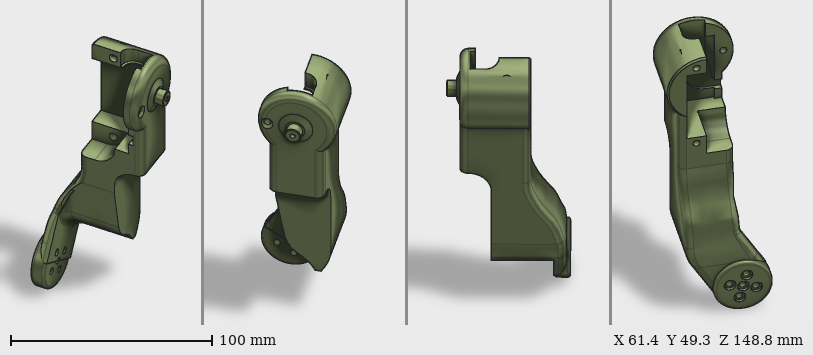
import cadquery as cq
import math


JOINT_R = 20.0
HALF_WIDTH = 14.1
WALL = 4.2
FLANGE_X = 27.7
POCKET_X = 28.9
PLATE_X = 31.0
PLATE_END_X = 35.3
PLATE_BOTTOM = -43.2
RIM_LAND = 0.1
HOUSING_CHAMFER = 0.9

POCKET_TOP = 10.4
POCKET_BOTTOM = -30.2
LIP_Y = -10.4
NOTCH_X = 15.9
NOTCH_Y = 7.3
NOTCH_R = 6.4
LEDGE_HEIGHT = 0.7
RECESS_R = 11.2
RECESS_FLAT = 8.8

CHANNEL_X = 30.2
CHANNEL_HALF_WIDTH = 5.8
CHANNEL_STRAIGHT_END = -11.9
CHANNEL_BOTTOM = -24.1
EXIT_TOP = -18.3
TAPER_END_Y = -9.8

DOME_BASE_R = 10.1
DOME_MID_R = 7.3
DOME_TOP_R = 5.0
DOME_BASE_X = 34.4
DOME_MID_X = 36.0
DOME_TOP_X = 36.9
AXLE_D = 8.0
AXLE_END_X = 41.8
AXLE_CHAMFER = 0.5
AXLE_HOLE_D = 2.5
AXLE_SINK_D = 6.5

ARM_TOP = -49.7
ARM_CURVE = ((-2.5, -60.0), (-7.3, -68.5), (-12.4, -75.6), (-15.6, -84.1), (-17.5, -99.7))
ARM_INNER_X = -11.3
ARM_INNER_END_Z = -84.1
ARM_INNER_KNEE = (-5.8, -70.2)
BLOCK_X = 19.6
NECK_R = 11.3
EDGE_FILLET = 3.9
INNER_BEND_R = 3.0
OUTER_BEND_R = 22.3
BEND_ANGLE = 30.0
FACET_TOP = -58.6
ARM_INNER_START = (3.3, FACET_TOP)
FACET_ANGLE = 10.6
BLOCK_BOTTOM = -103.1
CLEARANCE_R = 23.0
CLEARANCE_FILLET = 4.5
BLOCK_FILLET = 14.9
DIP_Z = -67.0
DIP_END = -78.1

LOWER_Y = -14.3
LOWER_Z = -113.8
LOWER_R = 15.0
DISC_FACE_X = -19.6
DISC_BACK_X = -11.8
DISC_FILLET = 1.5
BOLT_CIRCLE_R = 7.0
BOLT_TILT = 15.0
BOLT_D = 3.5
BOLT_SEAT_D = 6.0
BOLT_SEAT_DEPTH = 1.5

SCREW_D = 4.5
SCREW_X = 11.9
SCREW_DEPTH = 10.4
FRONT_SCREW_Z = (14.9, -35.7)
SIDE_SCREW_D = 3.5
SIDE_SCREW_Y = 5.0
SIDE_SCREWS = ((14.3, 11.9), (-34.0, 9.0))
FLANGE_HOLE_D = 3.5
FLANGE_HOLE_Y = -14.9
FLANGE_SINK_D = 6.5
TIP_ANGLE = 118.0

FAR = 89.3
MARGIN = 1.5
TOUCH = 0.1


def box(x, y, z):
    """Box given by its (low, high) limits along each axis."""
    size = (x[1] - x[0], y[1] - y[0], z[1] - z[0])
    return cq.Workplane("XY").box(*size, centered=False).translate((x[0], y[0], z[0]))


def rod(x0, x1, radius, y=0.0, z=0.0):
    """Cylinder along X."""
    return cq.Workplane("YZ", origin=(x0, y, z)).circle(radius).extrude(x1 - x0)


def drill(start, diameter, depth):
    """Blind hole toward +Y with a conical drill tip."""
    radius = diameter / 2
    tip = radius / math.tan(math.radians(TIP_ANGLE / 2))
    start = cq.Vector(*start)
    direction = cq.Vector(0, 1, 0)
    bore = cq.Solid.makeCylinder(radius, depth, start, direction)
    cone = cq.Solid.makeCone(radius, 0, tip, start + direction * depth, direction)
    return cq.Workplane(bore).union(cq.Workplane(cone))


def arm():
    """Trunk and bent arm: side profile crossed with front outline, outer edges rounded."""
    blend = NECK_R * math.sqrt(0.5)
    profile = (
        cq.Workplane("XZ", origin=(0, FAR, 0))
        .moveTo(0, 0)
        .lineTo(0, ARM_TOP)
        .spline(ARM_CURVE, tangents=[(0, -1), (0, -1)], includeCurrent=True)
        .lineTo(ARM_CURVE[-1][0], -FAR * 2)
        .lineTo(BLOCK_X, -FAR * 2)
        .lineTo(BLOCK_X, PLATE_BOTTOM - NECK_R)
        .threePointArc(
            (PLATE_X - blend, PLATE_BOTTOM - NECK_R + blend), (PLATE_X, PLATE_BOTTOM)
        )
        .lineTo(PLATE_X, 0)
        .close()
        .extrude(2 * FAR)
    )
    cos_bend = math.cos(math.radians(BEND_ANGLE))
    sin_bend = math.sin(math.radians(BEND_ANGLE))
    side_y = LOWER_R * cos_bend
    side_z = LOWER_R * sin_bend
    outer_tangent = (LOWER_Y + side_y, LOWER_Z - side_z)
    inner_tangent = (LOWER_Y - side_y, LOWER_Z + side_z)
    slope = cos_bend / sin_bend
    outer_bend_z = outer_tangent[1] + (HALF_WIDTH - outer_tangent[0]) * slope
    inner_bend_z = inner_tangent[1] + (-HALF_WIDTH - inner_tangent[0]) * slope
    outline = (
        cq.Workplane("YZ", origin=(-FAR, 0, 0))
        .moveTo(-HALF_WIDTH, 0)
        .lineTo(HALF_WIDTH, 0)
        .lineTo(HALF_WIDTH, outer_bend_z)
        .lineTo(*outer_tangent)
        .threePointArc((LOWER_Y - LOWER_R * sin_bend, LOWER_Z - LOWER_R * cos_bend), inner_tangent)
        .lineTo(-HALF_WIDTH, inner_bend_z)
        .close()
        .extrude(2 * FAR)
    )
    inner_bend = cq.selectors.NearestToPointSelector((0, -HALF_WIDTH, inner_bend_z))
    outer_bend = cq.selectors.NearestToPointSelector((0, HALF_WIDTH, outer_bend_z))
    outline = outline.edges(inner_bend).fillet(INNER_BEND_R)
    outline = outline.edges(outer_bend).fillet(OUTER_BEND_R)

    left_edges = cq.selectors.BoxSelector((-FAR, -FAR, -2 * FAR), (TOUCH, FAR, FAR))
    crosswise = cq.selectors.ParallelDirSelector(cq.Vector(0, 1, 0))
    lengthwise = cq.selectors.ParallelDirSelector(cq.Vector(1, 0, 0))
    body = profile.intersect(outline)
    body = body.edges(left_edges - crosswise - lengthwise).fillet(EDGE_FILLET)
    return body.cut(arm_relief()).cut(front_dip()).cut(end_rounding())


def arm_relief():
    """Material removed behind the arm: sloped front of the block and room for the lower joint."""
    inner_side = (
        cq.Workplane("XZ", origin=(0, FAR, 0))
        .moveTo(*ARM_INNER_START)
        .lineTo(*ARM_INNER_KNEE)
        .lineTo(ARM_INNER_X, ARM_INNER_END_Z)
        .lineTo(ARM_INNER_X, -FAR * 2)
        .lineTo(FAR, -FAR * 2)
        .lineTo(FAR, ARM_INNER_START[1])
        .close()
        .extrude(2 * FAR)
    )
    slope = math.tan(math.radians(FACET_ANGLE))
    drop = FACET_TOP - LOWER_Z
    in_front = (
        cq.Workplane("YZ", origin=(-FAR, 0, 0))
        .moveTo(-HALF_WIDTH, FACET_TOP)
        .lineTo(-HALF_WIDTH + drop * slope, LOWER_Z)
        .lineTo(-FAR, LOWER_Z)
        .lineTo(-FAR, FACET_TOP)
        .close()
        .extrude(2 * FAR)
    )
    clearance = rod(ARM_INNER_X, FAR, CLEARANCE_R, LOWER_Y, LOWER_Z)
    in_front = in_front.intersect(box((ARM_INNER_X, FAR), (-FAR, FAR), (-2 * FAR, FAR)))
    below = box((ARM_INNER_X, FAR), (-FAR, FAR), (-2 * FAR, BLOCK_BOTTOM))
    relief = in_front.union(clearance)
    crest = cq.selectors.NearestToPointSelector((FAR / 2, LOWER_Y, LOWER_Z + CLEARANCE_R))
    relief = relief.edges("|X").edges(crest).fillet(BLOCK_FILLET)
    relief = relief.faces("<X").edges("%CIRCLE").fillet(CLEARANCE_FILLET)
    return relief.union(below).intersect(inner_side)


def end_rounding():
    """Trim that gives the end of the arm the rounded rear rim of the lower disc."""
    ring = box((DISC_BACK_X - DISC_FILLET, 0), (-2 * LOWER_R, 2 * LOWER_R), (-2 * LOWER_R, 0))
    ring = ring.rotate((0, 0, 0), (1, 0, 0), -BEND_ANGLE).translate((0, LOWER_Y, LOWER_Z))
    return ring.cut(lower_disc())


def front_dip():
    """Shallow notch in the front edge of the arm."""
    depth = (FACET_TOP - DIP_Z) * math.tan(math.radians(FACET_ANGLE))
    return (
        cq.Workplane("YZ", origin=(-FAR, 0, 0))
        .moveTo(-HALF_WIDTH, FACET_TOP)
        .lineTo(-HALF_WIDTH + depth, DIP_Z)
        .lineTo(-HALF_WIDTH, DIP_END)
        .close()
        .extrude(2 * FAR)
    )


def end_plate():
    """Round plate with a straight tail, rounded along its outer rim."""
    thickness = PLATE_END_X - PLATE_X
    disc = rod(PLATE_X, PLATE_END_X, JOINT_R)
    tail = box((PLATE_X, PLATE_END_X), (-HALF_WIDTH, HALF_WIDTH), (PLATE_BOTTOM, 0))
    return disc.union(tail).faces(">X").edges("not |Y").fillet(thickness - RIM_LAND)


def housing():
    """Half-round housing behind the pocket plus the full flange at its right end."""
    shell = rod(0, PLATE_X, JOINT_R).faces("<X").edges().chamfer(HOUSING_CHAMFER)
    front = box((-MARGIN, FLANGE_X), (-FAR, 0), (-FAR, FAR))
    return shell.cut(front)


def pocket():
    """Servo pocket, open to the left and the front, with a lip along the flange."""
    depth_y = HALF_WIDTH - WALL
    heights = (POCKET_BOTTOM, POCKET_TOP)
    main = box((-MARGIN, FLANGE_X), (-FAR, depth_y), heights)
    behind_lip = box((0, POCKET_X), (LIP_Y, depth_y), heights)
    return main.union(behind_lip)


def roof_notch():
    """Cable notch through the roof with a rounded corner and a low ledge at its foot."""
    ledge_top = POCKET_TOP + LEDGE_HEIGHT
    notch = cq.Workplane("XY")
    for depth, bottom in ((CHANNEL_HALF_WIDTH, POCKET_TOP), (NOTCH_Y, ledge_top)):
        left = NOTCH_X + NOTCH_Y - depth
        step = box((left, CHANNEL_X), (-MARGIN, depth), (bottom, JOINT_R + MARGIN))
        notch = notch.union(step.edges("|Z and <X and >Y").fillet(NOTCH_R - NOTCH_Y + depth))
    return notch


def cable_channel():
    """Channel sunk into the flange, from the roof down and out to the front."""
    corner_r = CHANNEL_STRAIGHT_END - CHANNEL_BOTTOM
    bend = corner_r * math.sqrt(0.5)
    return (
        cq.Workplane("YZ", origin=(FLANGE_X - MARGIN, 0, 0))
        .moveTo(CHANNEL_HALF_WIDTH, JOINT_R + MARGIN)
        .lineTo(CHANNEL_HALF_WIDTH, CHANNEL_STRAIGHT_END)
        .threePointArc(
            (CHANNEL_HALF_WIDTH - corner_r + bend, CHANNEL_STRAIGHT_END - bend),
            (CHANNEL_HALF_WIDTH - corner_r, CHANNEL_BOTTOM),
        )
        .lineTo(-HALF_WIDTH - MARGIN, CHANNEL_BOTTOM)
        .lineTo(-HALF_WIDTH - MARGIN, EXIT_TOP)
        .lineTo(TAPER_END_Y, EXIT_TOP)
        .lineTo(-CHANNEL_HALF_WIDTH, 0)
        .lineTo(-CHANNEL_HALF_WIDTH, JOINT_R + MARGIN)
        .close()
        .extrude(CHANNEL_X - FLANGE_X + MARGIN)
    )


def lower_recess():
    """Recess under the pocket floor, ending in a quarter round."""
    bottom = POCKET_BOTTOM - RECESS_R
    bend = RECESS_R * math.sqrt(0.5)
    return (
        cq.Workplane("XZ")
        .moveTo(-MARGIN, POCKET_BOTTOM)
        .lineTo(-MARGIN, bottom)
        .lineTo(RECESS_FLAT, bottom)
        .threePointArc(
            (RECESS_FLAT + bend, POCKET_BOTTOM - bend), (RECESS_FLAT + RECESS_R, POCKET_BOTTOM)
        )
        .close()
        .extrude(FAR)
    )


def axle():
    """Domed boss carrying the axle stub."""
    boss = (
        cq.Workplane("XY")
        .moveTo(PLATE_X, 0)
        .lineTo(PLATE_X, DOME_BASE_R)
        .lineTo(DOME_BASE_X, DOME_BASE_R)
        .threePointArc((DOME_MID_X, DOME_MID_R), (DOME_TOP_X, DOME_TOP_R))
        .lineTo(DOME_TOP_X, 0)
        .close()
        .revolve(360, (0, 0, 0), (1, 0, 0))
    )
    stub = rod(PLATE_X, AXLE_END_X, AXLE_D / 2).faces(">X").edges().chamfer(AXLE_CHAMFER)
    return boss.union(stub)


def countersink(x, direction, y, sink_d, hole_d):
    """Right-angled countersink cone along X, widest at x."""
    depth = (sink_d - hole_d) / 2
    start = cq.Vector(x, y, 0)
    return cq.Workplane(
        cq.Solid.makeCone(sink_d / 2, hole_d / 2, depth, start, cq.Vector(direction, 0, 0))
    )


def axle_hole():
    """Through hole along the axle with a countersink at the channel floor."""
    hole = rod(FLANGE_X, FAR, AXLE_HOLE_D / 2)
    return hole.union(countersink(CHANNEL_X, 1, 0, AXLE_SINK_D, AXLE_HOLE_D))


def flange_hole():
    """Through hole in the flange, countersunk from the outer right face."""
    hole = rod(FLANGE_X - MARGIN, FAR, FLANGE_HOLE_D / 2, FLANGE_HOLE_Y)
    sink = countersink(PLATE_END_X, -1, FLANGE_HOLE_Y, FLANGE_SINK_D, FLANGE_HOLE_D)
    return hole.union(sink)


def screw_holes():
    """Blind screw holes in the housing, from the front and from the left."""
    holes = cq.Workplane("XY")
    for height in FRONT_SCREW_Z:
        holes = holes.union(drill((SCREW_X, 0, height), SCREW_D, SCREW_DEPTH))
    for height, depth in SIDE_SCREWS:
        holes = holes.union(rod(0, depth, SIDE_SCREW_D / 2, SIDE_SCREW_Y, height))
    return holes


def lower_disc():
    """Round joint disc at the end of the arm."""
    disc = rod(DISC_FACE_X, DISC_BACK_X, LOWER_R, LOWER_Y, LOWER_Z)
    return disc.edges().fillet(DISC_FILLET)


def bolt_holes():
    """Counterbored centre hole with four more around it."""
    places = [(LOWER_Y, LOWER_Z)]
    for quarter in range(4):
        angle = math.radians(BOLT_TILT + 90 * quarter)
        y = LOWER_Y + BOLT_CIRCLE_R * math.cos(angle)
        z = LOWER_Z + BOLT_CIRCLE_R * math.sin(angle)
        places.append((y, z))
    holes = cq.Workplane("XY")
    for y, z in places:
        holes = holes.union(rod(DISC_FACE_X, 0, BOLT_D / 2, y, z))
        seat_end = DISC_FACE_X + BOLT_SEAT_DEPTH
        holes = holes.union(rod(DISC_FACE_X, seat_end, BOLT_SEAT_D / 2, y, z))
    return holes


result = arm().union(housing()).union(end_plate())
result = result.cut(pocket()).cut(roof_notch()).cut(cable_channel()).cut(lower_recess())
result = result.union(axle()).union(lower_disc())
result = result.cut(axle_hole()).cut(flange_hole()).cut(screw_holes()).cut(bolt_holes())